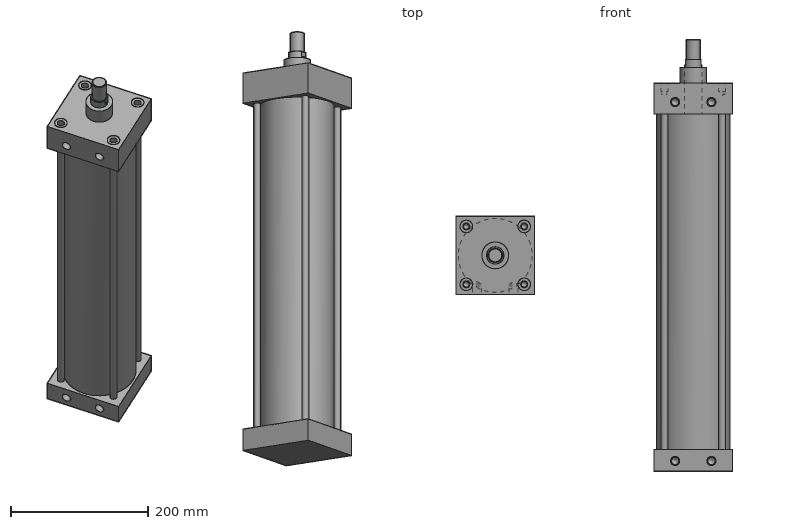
import cadquery as cq
import math

total_length = 628.5
block_side = 114.5
cap_height = 32.0
head_height = 45.0
head_top = 565.0
head_bottom = head_top - head_height

tube_diameter = 107.5
tie_rod_diameter = 10.0
tie_rod_spacing = 84.0
tie_rod_span = head_bottom - cap_height

gland_diameter = 70.5
collar_diameter = 39.0
collar_top = 588.0

rod_diameter = 25.0
thread_diameter = 21.0
thread_chamfer = 0.95
thread_start = 599.0
flats_bottom = 591.5
flats_width = 22.5

drill_point_angle = 118

counterbore_diameter = 18.0
counterbore_depth = 0.5
head_thread_diameter = 10.0
head_thread_depth = 12.5
head_drill_diameter = 8.0
head_drill_depth = 16.0

mount_thread_diameter = 13.0
mount_thread_depth = 12.5
mount_drill_diameter = 11.0
mount_drill_depth = 16.0
mount_hole_spacing = 53.0
head_mount_height = 537.5
cap_mount_height = 15.0


def disc(diameter, bottom, top):
    """Vertical cylinder on the part's axis."""
    return cq.Workplane("XY").workplane(offset=bottom).circle(diameter / 2).extrude(top - bottom)


def block(bottom, height):
    """Square end block."""
    return cq.Workplane("XY").workplane(offset=bottom).rect(block_side, block_side).extrude(height)


def at_tie_rods(height):
    """The four tie rod positions on a horizontal plane."""
    plane = cq.Workplane("XY").workplane(offset=height)
    return plane.rect(tie_rod_spacing, tie_rod_spacing, forConstruction=True).vertices()


def tapped_hole(thread_diameter, thread_depth, drill_diameter, drill_depth):
    """Cutter for a tapped hole that starts at the origin and goes down."""
    thread_radius = thread_diameter / 2
    drill_radius = drill_diameter / 2
    point_length = drill_radius / math.tan(math.radians(drill_point_angle / 2))
    outline = (
        cq.Workplane("XZ")
        .lineTo(thread_radius, 0)
        .lineTo(thread_radius, -thread_depth)
        .lineTo(drill_radius, -thread_depth)
        .lineTo(drill_radius, -drill_depth)
        .lineTo(0, -drill_depth - point_length)
        .close()
    )
    return outline.revolve(360, (0, 0, 0), (0, 1, 0)).val()


def head_holes():
    """Cutters for the counterbored holes in the top of the head."""
    counterbores = at_tie_rods(head_top).circle(counterbore_diameter / 2).extrude(-counterbore_depth)
    hole = tapped_hole(head_thread_diameter, head_thread_depth, head_drill_diameter, head_drill_depth)
    return counterbores.union(at_tie_rods(head_top).eachpoint(hole, combine=False))


def mount_holes(height):
    """Cutters for the pair of tapped holes that go in from the -Y side."""
    front = cq.Workplane("XZ", origin=(0, -block_side / 2, height))
    hole = tapped_hole(mount_thread_diameter, mount_thread_depth, mount_drill_diameter, mount_drill_depth)
    return front.rarray(mount_hole_spacing, 6, 2, 1).eachpoint(hole, combine=False)


def make_rod():
    """Piston rod running from the bottom of the head to the threaded tip."""
    flats = (
        cq.Workplane("XY")
        .workplane(offset=flats_bottom)
        .rect(flats_width, rod_diameter)
        .extrude(thread_start - flats_bottom)
    )
    shank = disc(rod_diameter, head_bottom, flats_bottom)
    flatted = disc(rod_diameter, flats_bottom, thread_start).intersect(flats)
    thread = disc(thread_diameter, thread_start, total_length).faces(">Z").chamfer(thread_chamfer)
    return shank.union(flatted.union(thread), clean=False)


def make_gland():
    """Gland and its collar, bored for the rod."""
    gland = disc(gland_diameter, head_bottom, head_top).union(disc(collar_diameter, head_top, collar_top))
    return gland.cut(disc(rod_diameter, head_bottom, collar_top))


def make_cylinder():
    """Housing in one piece: cap, tube, tie rods, head and gland."""
    body = block(0, cap_height).union(block(head_bottom, head_height))
    body = body.union(disc(tube_diameter, cap_height, head_bottom))
    body = body.union(at_tie_rods(cap_height).circle(tie_rod_diameter / 2).extrude(tie_rod_span))
    body = body.cut(head_holes())
    for height in (cap_mount_height, head_mount_height):
        body = body.cut(mount_holes(height))
    gland_seat = disc(gland_diameter, head_bottom, head_top)
    return body.cut(gland_seat).union(make_gland(), clean=False)


rod = make_rod()
cylinder = make_cylinder()
result = cq.Compound.makeCompound([*cylinder.solids().vals(), *rod.solids().vals()])